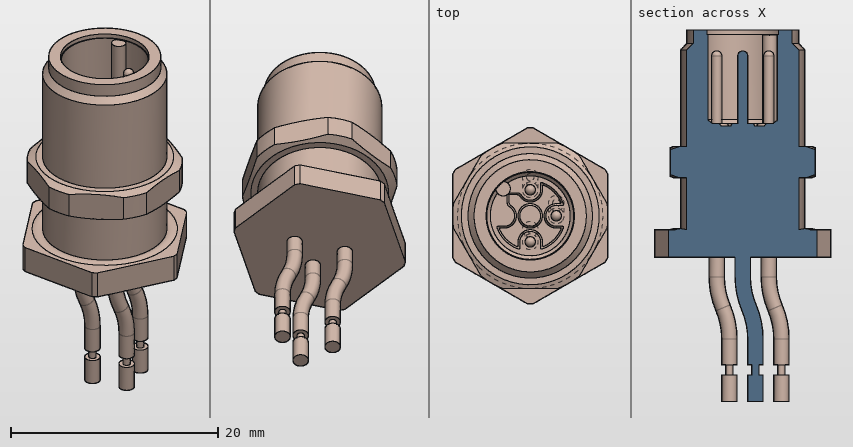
import cadquery as cq
import math

rim_z = 21.95
neck_bottom_z = 20.65
shoulder_z = 20.0
nut_bottom_z = 7.67
nut_height = 3.05
flange_height = 2.7
seal_height = 0.1

neck_diameter = 10.83
sleeve_diameter = 12.0
bore_diameter = 8.4
bore_depth = 9.0
bore_floor_z = rim_z - bore_depth
mouth_diameter = 8.55
mouth_depth = 0.43
floor_diameter = 7.7

flange_across_flats = 15.0
flange_across_corners = 17.0
seal_diameter = 14.0
face_diameter = 13.3
nut_across_flats = 14.0
nut_corner_diameter = 15.0
nut_chamfer_height = 0.32

contact_radius = 2.5
pin_diameter = 1.0
pin_tip_z = rim_z - 2.0
land_radius = 1.0
pocket_radius = 3.4
pocket_depth = 0.25
pocket_draft = 35.0
wall_corner_radius = 0.15
pad_corner_radius = 0.57
key_diameter = 1.4
key_offset = 2.6
key_top_z = rim_z - 0.5
key_pad_edge = 2.22

wire_diameter = 1.5
core_diameter = 0.7
bend_top_z = -1.85
bend_bottom_z = -7.85
insulation_end_z = -10.35
tail_top_z = -11.33
wire_end_z = -13.9
wire_shift = 1.22

contact_points = [(0, contact_radius), (contact_radius, 0), (0, -contact_radius)]


def cylinder(diameter, bottom_z, top_z, x=0.0, y=0.0):
    disc = cq.Workplane("XY", origin=(x, y, bottom_z)).circle(diameter / 2)
    return disc.extrude(top_z - bottom_z)


def cone(bottom_diameter, top_diameter, bottom_z, height):
    solid = cq.Solid.makeCone(bottom_diameter / 2, top_diameter / 2, height, cq.Vector(0, 0, bottom_z))
    return cq.Workplane(solid)


def hexagon(across_flats, bottom_z, height, angle):
    """Hexagonal prism; at angle 0 two corners lie on the X axis."""
    corner_diameter = across_flats / math.cos(math.pi / 6)
    prism = cq.Workplane("XY").polygon(6, corner_diameter).extrude(height)
    return prism.rotate((0, 0, 0), (0, 0, 1), angle).translate((0, 0, bottom_z))


def make_flange():
    flange = hexagon(flange_across_flats, 0, flange_height, 30)
    corner_cut = hexagon(flange_across_corners, 0, flange_height, 0)
    return flange.intersect(corner_cut)


def make_seal():
    """Sealing ring bulging slightly out of the flange around the foot of the sleeve."""
    inner_r = sleeve_diameter / 2
    outer_r = seal_diameter / 2
    return (
        cq.Workplane("XZ")
        .moveTo(0, 0)
        .lineTo(outer_r, 0)
        .lineTo(outer_r, flange_height)
        .threePointArc(((inner_r + outer_r) / 2, flange_height + seal_height), (inner_r, flange_height))
        .lineTo(0, flange_height)
        .close()
        .revolve(360, (0, 0, 0), (0, 1, 0))
    )


def make_nut():
    face_r = face_diameter / 2
    corner_r = nut_corner_diameter / 2
    turned_blank = (
        cq.Workplane("XZ")
        .moveTo(0, 0)
        .lineTo(face_r, 0)
        .lineTo(corner_r, nut_chamfer_height)
        .lineTo(corner_r, nut_height - nut_chamfer_height)
        .lineTo(face_r, nut_height)
        .lineTo(0, nut_height)
        .close()
        .revolve(360, (0, 0, 0), (0, 1, 0))
        .translate((0, 0, nut_bottom_z))
    )
    return hexagon(nut_across_flats, nut_bottom_z, nut_height, 0).intersect(turned_blank)


def make_sleeve():
    sleeve = cylinder(sleeve_diameter, 0, shoulder_z)
    shoulder = cone(sleeve_diameter, neck_diameter, shoulder_z, neck_bottom_z - shoulder_z)
    return sleeve.union(shoulder).union(cylinder(neck_diameter, neck_bottom_z, rim_z))


def make_bore():
    """Bore with a stepped mouth and a bevelled edge around its floor."""
    floor_bevel = (bore_diameter - floor_diameter) / 2
    bore = cone(floor_diameter, bore_diameter, bore_floor_z, floor_bevel)
    bore = bore.union(cylinder(bore_diameter, bore_floor_z + floor_bevel, rim_z))
    return bore.union(cylinder(mouth_diameter, rim_z - mouth_depth, rim_z))


def upright_edges(inner_radius, outer_radius):
    """Edge test: full pocket height, midpoint within the given distances from the axis."""

    def is_wanted(edge):
        radius = math.hypot(edge.Center().x, edge.Center().y)
        is_upright = math.isclose(edge.BoundingBox().zlen, pocket_depth, abs_tol=0.0005)
        return is_upright and inner_radius < radius < outer_radius

    return is_wanted


def make_floor_pockets():
    """Four drafted pockets left between a central hub and the lands around the contacts."""
    draft_width = pocket_depth * math.tan(math.radians(pocket_draft))
    pocket_z = bore_floor_z - pocket_depth
    foot_radius = land_radius + draft_width
    pockets = cone(2 * (pocket_radius - draft_width), 2 * pocket_radius, pocket_z, pocket_depth)
    pockets = pockets.cut(cone(2 * foot_radius, 2 * land_radius, pocket_z, pocket_depth))

    land_length = contact_radius
    land = (
        cq.Workplane("XY", origin=(contact_radius + land_length / 2, 0, pocket_z))
        .slot2D(land_length + 2 * foot_radius, 2 * foot_radius)
        .extrude(pocket_depth, taper=pocket_draft)
    )
    for quarter in range(4):
        pockets = pockets.cut(land.rotate((0, 0, 0), (0, 0, 1), 90 * quarter))

    pad_edge = key_pad_edge - draft_width
    pad = (
        cq.Workplane("XY", origin=(0, 0, pocket_z))
        .moveTo(-pad_edge, 0)
        .lineTo(-pad_edge, pad_edge)
        .lineTo(0, pad_edge)
        .lineTo(0, 2 * pocket_radius)
        .lineTo(-2 * pocket_radius, 2 * pocket_radius)
        .lineTo(-2 * pocket_radius, 0)
        .close()
        .extrude(pocket_depth, taper=pocket_draft)
    )
    pockets = pockets.cut(pad)

    pad_corners = upright_edges(key_pad_edge, contact_radius)
    wall_corners = upright_edges(pocket_radius - pocket_depth, pocket_radius)
    pockets = pockets.edges().filter(pad_corners).fillet(pad_corner_radius)
    return pockets.edges().filter(wall_corners).fillet(wall_corner_radius)


def make_pin(x, y):
    tip_radius = pin_diameter / 2
    pin = cylinder(pin_diameter, bore_floor_z - pocket_depth, pin_tip_z - tip_radius, x, y)
    tip = cq.Workplane("XY", origin=(x, y, pin_tip_z - tip_radius)).sphere(tip_radius)
    return pin.union(tip)


def make_key():
    """Round polarising key standing against the bore wall."""
    key = cylinder(key_diameter, bore_floor_z - pocket_depth, key_top_z, -key_offset, key_offset)
    return key.intersect(cylinder(neck_diameter, 0, rim_z))


def make_wire(x, y):
    """Insulated wire with an S-bend of two equal arcs, a bared gap and a loose tail sleeve."""
    bend_height = bend_top_z - bend_bottom_z
    half_angle = math.atan(wire_shift / bend_height)
    bend_radius = bend_height / 2 / math.sin(2 * half_angle)
    quarter_sag = bend_radius * (1 - math.cos(half_angle))
    quarter_drop = bend_radius * math.sin(half_angle)
    path = (
        cq.Workplane("YZ", origin=(x, 0, 0))
        .moveTo(y, 0)
        .lineTo(y, bend_top_z)
        .threePointArc(
            (y + quarter_sag, bend_top_z - quarter_drop),
            (y + wire_shift / 2, bend_top_z - bend_height / 2),
        )
        .threePointArc(
            (y + wire_shift - quarter_sag, bend_bottom_z + quarter_drop),
            (y + wire_shift, bend_bottom_z),
        )
        .lineTo(y + wire_shift, insulation_end_z)
    )
    insulation = cq.Workplane("XY", origin=(x, y, 0)).circle(wire_diameter / 2).sweep(path)
    core = cylinder(core_diameter, tail_top_z, insulation_end_z, x, y + wire_shift)
    tail = cylinder(wire_diameter, wire_end_z, tail_top_z, x, y + wire_shift)
    return insulation.union(core).union(tail)


result = make_sleeve().union(make_flange()).union(make_seal()).union(make_nut())
result = result.cut(make_bore()).cut(make_floor_pockets()).union(make_key())
for contact_x, contact_y in contact_points:
    result = result.union(make_pin(contact_x, contact_y))
    result = result.union(make_wire(contact_x, contact_y))